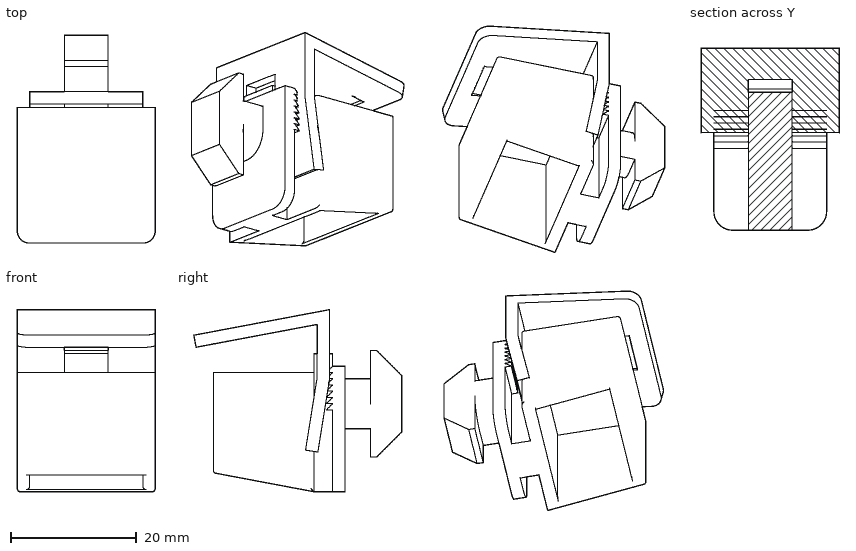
import cadquery as cq
import math


overall_depth = 33.12
overall_height = 29.0
body_width = 22.0

head_thickness = 5.0
head_width = 7.0
head_height = 17.0
head_chamfer = 4.0
neck_length = 4.0
neck_height = 8.0
neck_rounding = neck_height / 2
head_center_z = 14.0

plate_thickness = 2.0
plate_width = 18.0
plate_height = 20.0
plate_corner_radius = 3.0
tooth_count = 7
tooth_size = 1.0

tongue_width = head_width
tongue_length = 3.0
tongue_height = 22.0

box_depth = 16.0
box_height = 19.0
box_rise = 3.0
wall = 2.0
edge_radius = 0.5

lever_thickness = 2.0
lever_gap = 0.5
lever_bend_z = 18.0
leg_tip_z = 6.33
leg_angle = math.radians(9.1)
flange_angle = math.atan2(box_rise, box_depth)
flange_corner_radius = 2.0
slot_headroom = 2.0

edge_search = 0.33

neck_start = head_thickness
plate_back = neck_start + neck_length
plate_face = plate_back + plate_thickness
box_back = plate_face + tongue_length
box_front = box_back + box_depth
lever_back = plate_face + lever_gap
lever_front = lever_back + lever_thickness


def side_prism(points, width):
    """Extrude an outline of (distance from the head end, height) points, centered on X = 0."""
    outline = [(-distance, height) for distance, height in points]
    return cq.Workplane("YZ").polyline(outline).close().extrude(width / 2, both=True)


def side_block(start, end, bottom, top, width):
    """Rectangular block between two distances and two heights, centered on X = 0."""
    return side_prism([(start, bottom), (end, bottom), (end, top), (start, top)], width)


def make_head():
    top = head_center_z + head_height / 2
    bottom = head_center_z - head_height / 2
    return side_prism(
        [
            (0, bottom + head_chamfer),
            (head_chamfer, bottom),
            (head_thickness, bottom),
            (head_thickness, top),
            (head_chamfer, top),
            (0, top - head_chamfer),
        ],
        head_width,
    )


def make_neck():
    """Neck with two opposite edges rounded so that the head can turn in its slot."""
    bottom = head_center_z - neck_height / 2
    neck = side_block(neck_start, plate_back, bottom, bottom + neck_height, head_width)
    return neck.edges("(>X and >Z) or (<X and <Z)").fillet(neck_rounding)


def make_plate():
    plate = side_block(plate_back, plate_face, 0, plate_height, plate_width)
    return plate.edges("|Y and <Z").fillet(plate_corner_radius)


def make_teeth():
    """Sawtooth rack running down from the top of the plate, with flat undersides."""
    teeth = []
    for index in range(tooth_count):
        root_z = plate_height - index * tooth_size
        underside_z = root_z - tooth_size
        tip = (plate_face + tooth_size, underside_z)
        teeth.append(side_prism([(plate_face, root_z), tip, (plate_face, underside_z)], plate_width))
    return teeth


def make_box():
    """Box with rounded edges, hollowed from its sloping underside."""
    box = side_prism(
        [(box_back, 0), (box_front, box_rise), (box_front, box_height), (box_back, box_height)],
        body_width,
    )
    back_bottom_edge = cq.selectors.BoxSelector(
        (-body_width, -box_back - edge_search, -edge_search),
        (body_width, -box_back + edge_search, edge_search),
    )
    sharp_edges = box.faces(">Z").edges().vals() + box.edges("|X").edges(back_bottom_edge).vals()
    rounded = box.edges().filter(lambda edge: not any(edge.isSame(sharp) for sharp in sharp_edges))
    box = rounded.fillet(edge_radius)

    pocket = side_block(
        box_back + wall, box_front - wall, 0, box_height - wall, body_width - 2 * wall
    )
    box = box.cut(pocket)

    pocket_side = body_width / 2 - wall
    for side in (-pocket_side, pocket_side):
        rim = cq.selectors.BoxSelector(
            (side - edge_search, -box_front, 0), (side + edge_search, -box_back, box_rise)
        )
        box = box.edges(rim).fillet(edge_radius)
    return box


def make_lever():
    lean = math.tan(leg_angle)
    bend_rise = lever_thickness * math.tan(leg_angle / 2)
    leg_tip_back = lever_back + (lever_bend_z - leg_tip_z) * lean
    leg_tip_front = leg_tip_back + lever_thickness * math.cos(leg_angle)
    leg_tip_front_z = leg_tip_z + lever_thickness * math.sin(leg_angle)

    slope = math.tan(flange_angle)
    tip_top_z = overall_height - (overall_depth - lever_back) * slope
    tip_bottom = overall_depth - lever_thickness * math.sin(flange_angle)
    tip_bottom_z = tip_top_z - lever_thickness * math.cos(flange_angle)
    inner_corner_z = tip_bottom_z + (tip_bottom - lever_front) * slope

    lever = side_prism(
        [
            (lever_back, overall_height),
            (overall_depth, tip_top_z),
            (tip_bottom, tip_bottom_z),
            (lever_front, inner_corner_z),
            (lever_front, lever_bend_z + bend_rise),
            (leg_tip_front, leg_tip_front_z),
            (leg_tip_back, leg_tip_z),
            (lever_back, lever_bend_z),
        ],
        body_width,
    )
    flange_end = lever.faces("<Y")
    lever = flange_end.edges("not |X").fillet(flange_corner_radius)

    slot = side_block(plate_face, box_front, 0, tongue_height + slot_headroom, tongue_width)
    return lever.cut(slot)


lever = make_lever()
base = make_plate().union(make_head()).union(make_neck())
base = base.union(side_block(plate_face, box_back, 0, tongue_height, tongue_width))
base = base.union(make_box()).cut(lever)
for tooth in make_teeth():
    base = base.union(tooth)
    lever = lever.cut(tooth)

result = cq.Compound.makeCompound([base.solids().val(), lever.solids().val()])